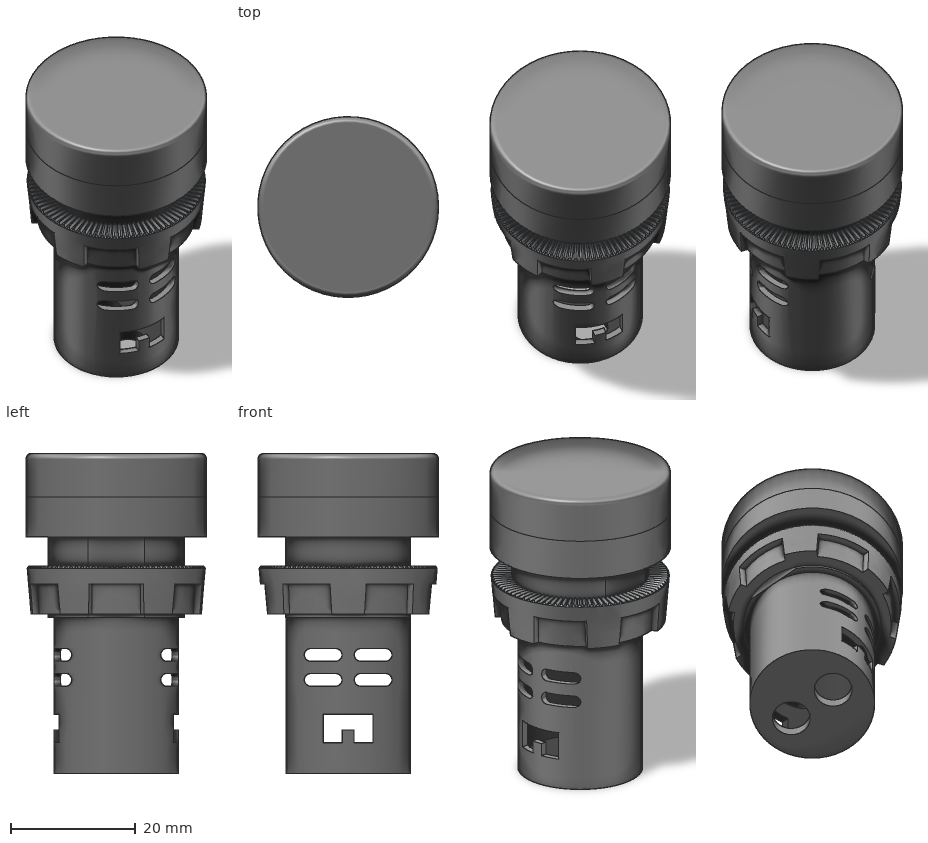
import cadquery as cq

HOUSING_TOP = 25.05
NUT_BOTTOM = 25.55
NOTCH_TOP = 30.35
TOOTH_ROOT = 32.9
COLLAR_RIM_BOTTOM = 37.9
LENS_BOTTOM = 44.25
LENS_TOP = 51.3

HEAD_DIA = 29.0
LENS_FILLET = 1.0
NECK_RADIUS = 11.0

HOUSING_RADIUS = 10.0
WALL = 1.05
FLOOR = 2.0
FLOOR_HOLE_RADIUS = 3.05
FLOOR_HOLE_OFFSET = 4.25

SLOT_LENGTH = 6.0
SLOT_WIDTH = 2.0
SLOT_PITCH_X = 8.0
SLOT_HEIGHTS = (15.05, 19.05)

WINDOW_WIDTH = 7.95
WINDOW_SILL = 5.0
WINDOW_HEIGHT = 4.5
TAB_WIDTH = 1.9
TAB_HEIGHT = 2.05

NUT_TOP_RADIUS = 14.25
NUT_BOTTOM_RADIUS = 13.65
NOTCH_DEPTH = 1.05
RIB_COUNT = 6
RIB_WIDTH_TOP = 5.8
RIB_WIDTH_BOTTOM = 5.25
TOOTH_COUNT = 91
TOOTH_WIDTH = 0.65
TOOTH_HEIGHT = 0.4
TOOTH_TIP_RADIUS = 13.95


def make_lens():
    """Plain disc with a rounded upper rim."""
    thickness = LENS_TOP - LENS_BOTTOM
    lens = cq.Workplane("XY").workplane(offset=LENS_BOTTOM).circle(HEAD_DIA / 2).extrude(thickness)
    return lens.faces(">Z").edges().fillet(LENS_FILLET)


def make_collar():
    """Wide rim on a round neck that has a flat on its -X and +X sides."""
    rim = (
        cq.Workplane("XY")
        .workplane(offset=COLLAR_RIM_BOTTOM)
        .circle(HEAD_DIA / 2)
        .extrude(LENS_BOTTOM - COLLAR_RIM_BOTTOM)
    )
    neck_height = COLLAR_RIM_BOTTOM - HOUSING_TOP
    neck = cq.Workplane("XY").workplane(offset=HOUSING_TOP).circle(NECK_RADIUS).extrude(neck_height)
    flats = (
        cq.Workplane("XY")
        .workplane(offset=HOUSING_TOP)
        .rect(2 * HOUSING_RADIUS, 2 * NECK_RADIUS)
        .extrude(neck_height)
    )
    return rim.union(neck.intersect(flats))


def slot_cutter():
    """Four slots that pass through the front and back walls."""
    centres = [(side * SLOT_PITCH_X / 2, z) for side in (-1, 1) for z in SLOT_HEIGHTS]
    return (
        cq.Workplane("XZ")
        .pushPoints(centres)
        .slot2D(SLOT_LENGTH, SLOT_WIDTH)
        .extrude(HOUSING_RADIUS, both=True)
    )


def window_cutter():
    """Front and back window openings, leaving the tab on each sill."""
    half_width = WINDOW_WIDTH / 2
    half_tab = TAB_WIDTH / 2
    tab_top = WINDOW_SILL + TAB_HEIGHT
    window_top = WINDOW_SILL + WINDOW_HEIGHT
    outline = [
        (-half_width, WINDOW_SILL),
        (-half_tab, WINDOW_SILL),
        (-half_tab, tab_top),
        (half_tab, tab_top),
        (half_tab, WINDOW_SILL),
        (half_width, WINDOW_SILL),
        (half_width, window_top),
        (-half_width, window_top),
    ]
    return cq.Workplane("XZ").polyline(outline).close().extrude(HOUSING_RADIUS, both=True)


def make_housing():
    """Cup with side slots, windows and two round holes in the floor."""
    cup = cq.Workplane("XY").circle(HOUSING_RADIUS).extrude(HOUSING_TOP)
    bore = (
        cq.Workplane("XY")
        .workplane(offset=FLOOR)
        .circle(HOUSING_RADIUS - WALL)
        .extrude(HOUSING_TOP - FLOOR)
    )
    floor_holes = (
        cq.Workplane("XY")
        .pushPoints([(0, -FLOOR_HOLE_OFFSET), (0, FLOOR_HOLE_OFFSET)])
        .circle(FLOOR_HOLE_RADIUS)
        .extrude(FLOOR)
    )
    return cup.cut(bore).cut(floor_holes).cut(slot_cutter()).cut(window_cutter())


def nut_radius(z):
    """Outer radius of the tapered nut at height z."""
    taper = (NUT_TOP_RADIUS - NUT_BOTTOM_RADIUS) / (TOOTH_ROOT - NUT_BOTTOM)
    return NUT_BOTTOM_RADIUS + taper * (z - NUT_BOTTOM)


def revolved_ring(outer_profile):
    """Ring bored to the neck radius, its outside following (radius, z) points from bottom to top."""
    bottom = (NECK_RADIUS, outer_profile[0][1])
    top = (NECK_RADIUS, outer_profile[-1][1])
    return cq.Workplane("XZ").polyline([bottom, *outer_profile, top]).close().revolve(360, (0, 0), (0, 1))


def nut_ribs():
    """Six outer ribs that narrow downwards; the first one faces -Y."""
    half_top = RIB_WIDTH_TOP / 2
    half_bottom = RIB_WIDTH_BOTTOM / 2
    outline = [
        (-half_bottom, NUT_BOTTOM),
        (half_bottom, NUT_BOTTOM),
        (half_top, NOTCH_TOP),
        (-half_top, NOTCH_TOP),
    ]
    envelope = revolved_ring([(nut_radius(z), z) for z in (NUT_BOTTOM, NOTCH_TOP)])
    rib = cq.Workplane("XZ").polyline(outline).close().extrude(NUT_TOP_RADIUS).intersect(envelope)
    return [rib.rotate((0, 0, 0), (0, 0, 1), i * 360 / RIB_COUNT) for i in range(RIB_COUNT)]


def nut_teeth():
    """Radial teeth of triangular section, bevelled at their outer ends; -Y lies midway between two."""
    half_width = TOOTH_WIDTH / 2
    tooth_tip = TOOTH_ROOT + TOOTH_HEIGHT
    section = [(-half_width, TOOTH_ROOT), (half_width, TOOTH_ROOT), (0, tooth_tip)]
    envelope = revolved_ring([(NUT_TOP_RADIUS, TOOTH_ROOT), (TOOTH_TIP_RADIUS, tooth_tip)])
    tooth = cq.Workplane("XZ").polyline(section).close().extrude(NUT_TOP_RADIUS).intersect(envelope)
    pitch = 360 / TOOTH_COUNT
    return [tooth.rotate((0, 0, 0), (0, 0, 1), (i + 0.5) * pitch) for i in range(TOOTH_COUNT)]


def make_nut():
    """Tapered ring with notches between its ribs and a toothed clamping face."""
    flange = revolved_ring([(nut_radius(z), z) for z in (NOTCH_TOP, TOOTH_ROOT)])
    core = revolved_ring([(nut_radius(z) - NOTCH_DEPTH, z) for z in (NUT_BOTTOM, NOTCH_TOP)])
    ring = flange.union(core)
    for rib in nut_ribs():
        ring = ring.union(rib)
    teeth = [tooth.val() for tooth in nut_teeth()]
    return cq.Workplane("XY").newObject([ring.val().fuse(*teeth)]).solids()


lens = make_lens()
collar = make_collar()
nut = make_nut()
housing = make_housing()

result = cq.Compound.makeCompound([lens.val(), collar.val(), nut.val(), housing.val()])